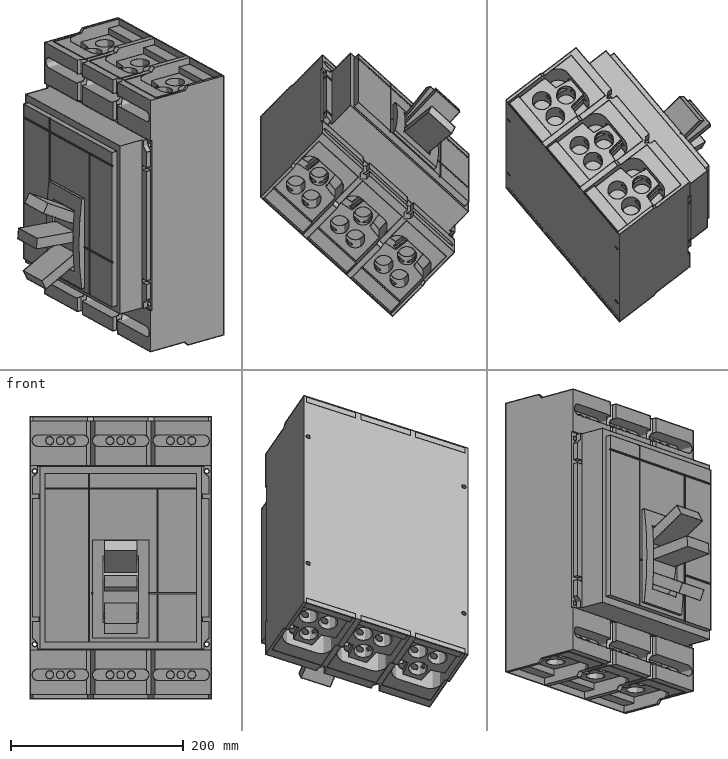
import cadquery as cq
import math


BASE_WIDTH = 210.0
BASE_HEIGHT = 326.5
TOTAL_DEPTH = 205.0
BASE_DEPTH = 104.5
FRONT_STEP = 5.0
STEP_START_DEPTH = 51.0
STEP_END_DEPTH = 55.2
POLE_PITCH = 70.0
BAND_HALF_HEIGHT = 106.8
BAND_DEPTH = 102.2

GROOVE_WIDTH = 9.8
GROOVE_APEX_DEPTH = 93.7
GROOVE_SHOULDER_DEPTH = 99.3

CHAMBER_WIDTH = 63.0
BACK_LIP = 1.0
LEDGE_DEPTH = 16.3
LEDGE_DROP = 8.2
FLOOR_DROP = 15.7
CHAMBER_FRONT_DEPTH = 77.7
CHAMBER_CORNER_RADIUS = 14.7
INSET_FRONT_DEPTH = 94.5
INSET = 0.5
WIRE_BORE_DIAMETER = 22.0
WIRE_BORE_LENGTH = 32.7
WIRE_SPACING = 12.5
REAR_WIRE_DEPTH = 35.3
FRONT_WIRE_DEPTH = 61.5
WELL_BACK_DEPTH = 55.2
WELL_SHOULDER_DEPTH = 57.8
WELL_SHOULDER_X = 14.5
WELL_FRONT_X = 11.8

SLOT_LENGTH = 65.3
SLOT_HEIGHT = 13.0
SLOT_CUT = 19.5
SLOT_Z = 135.5
SCREW_DIAMETER = 9.0
SCREW_OVERRUN = 16.3

COVER_WIDTH = 187.5
COVER_HEIGHT = 211.5
COVER_DEPTH = 139.8
PANEL_WIDTH = 175.7
PANEL_HEIGHT = 194.7
PANEL_DEPTH = 147.0
SEAM = 1.3
SEAM_TOP_Z = 80.5
SEAM_LOW_Z = -41.0
SEAM_LEFT_X = -36.5
SEAM_RIGHT_X = 42.5
SEAM_LOW_START_X = -34.0

FLANGE_HALF_WIDTH = 102.2
FLANGE_DEPTH = 108.5
FLANGE_RELIEF_RADIUS = 3.3
FLANGE_GAP_HEIGHT = 5.0
FLANGE_GAP_Z = 71.2
FLANGE_GAP_X = 94.7
MOUNT_HOLE_DIAMETER = 5.2
MOUNT_HOLE_X = 99.5
MOUNT_HOLE_Z = 100.3

PIVOT_DEPTH = 101.0
PIVOT_Z = -36.3
DRUM_RADIUS = 51.3
PLATE_WIDTH = 65.3
PLATE_HEIGHT = 113.5
PLATE_EDGE_DEPTH = 150.5
PLATE_CROWN_DEPTH = 154.5
WINDOW_WIDTH = 41.0
WINDOW_HEIGHT = 77.0
HANDLE_WIDTH = 37.2
HANDLE_THICKNESS = 13.0
UPPER_ANGLE, MIDDLE_ANGLE, LOWER_ANGLE = 29, 5, -26

HANDLE_ANGLES = (UPPER_ANGLE, MIDDLE_ANGLE, LOWER_ANGLE)
WIRES = [(-WIRE_SPACING, REAR_WIRE_DEPTH), (0, FRONT_WIRE_DEPTH), (WIRE_SPACING, REAR_WIRE_DEPTH)]
POLE_CENTRES = [i * POLE_PITCH for i in (-1, 0, 1)]
POLE_BORDERS = [-POLE_PITCH / 2, POLE_PITCH / 2]
middle_tilt = math.radians(MIDDLE_ANGLE)
corner_lead = HANDLE_THICKNESS / 2 * math.sin(middle_tilt)
HANDLE_REACH = (TOTAL_DEPTH - PIVOT_DEPTH - corner_lead) / math.cos(middle_tilt)
END_Z = BASE_HEIGHT / 2
FLOOR_Z = END_Z - FLOOR_DROP


def block(x_range, depth_range, z_range):
    """Box spanning the given ranges, with depth running toward -Y."""
    (x0, x1), (d0, d1), (z0, z1) = x_range, depth_range, z_range
    return cq.Workplane("XY").box(x1 - x0, d1 - d0, z1 - z0, centered=False).translate((x0, -d1, z0))


def centred(size, middle=0):
    return (middle - size / 2, middle + size / 2)


def front_plane(depth):
    """Plane at a depth, with local x = X, local y = Z and its normal toward the front."""
    return cq.Workplane("XZ", origin=(0, -depth, 0))


def side_profile(width):
    """YZ plane at the left side of a part of this width centred on X = 0, with its normal toward +X."""
    return cq.Workplane("YZ", origin=(-width / 2, 0, 0))


def both_ends(shape):
    return shape.union(shape.mirror("XY"))


def make_base():
    low_z = END_Z - FRONT_STEP
    upper_edge = [(0, END_Z), (-STEP_START_DEPTH, END_Z), (-STEP_END_DEPTH, low_z), (-BASE_DEPTH, low_z)]
    lower_edge = [(y, -z) for y, z in reversed(upper_edge)]
    base = side_profile(BASE_WIDTH).polyline(upper_edge + lower_edge).close().extrude(BASE_WIDTH)
    band = block(centred(BASE_WIDTH), (BAND_DEPTH, BASE_DEPTH), centred(2 * BAND_HALF_HEIGHT))
    return base.cut(band)


def pole_groove(x):
    """Pointed groove between two poles, from the band to the upper end."""
    half = GROOVE_WIDTH / 2
    return (
        cq.Workplane("XY", origin=(x, 0, BAND_HALF_HEIGHT))
        .polyline([(-half, -BASE_DEPTH), (-half, -GROOVE_SHOULDER_DEPTH), (0, -GROOVE_APEX_DEPTH),
                   (half, -GROOVE_SHOULDER_DEPTH), (half, -BASE_DEPTH)])
        .close()
        .extrude(END_Z - BAND_HALF_HEIGHT)
    )


def chamber_space(depth_range, z_range):
    """Chamber-wide space with rounded front corners."""
    space = block(centred(CHAMBER_WIDTH), depth_range, z_range)
    return space.edges("|Z and <Y").fillet(CHAMBER_CORNER_RADIUS)


def terminal_chamber(x):
    """Open chamber of one pole at the upper end, with its wire bores and corner wells."""
    ledge_cut = block(centred(CHAMBER_WIDTH), (BACK_LIP, LEDGE_DEPTH), (END_Z - LEDGE_DROP, END_Z))
    floor_cut = chamber_space((LEDGE_DEPTH, CHAMBER_FRONT_DEPTH), (FLOOR_Z, END_Z))
    front_z = END_Z - FRONT_STEP
    inset = block(centred(CHAMBER_WIDTH), (STEP_END_DEPTH, INSET_FRONT_DEPTH), (front_z - INSET, END_Z))
    cavity = ledge_cut.union(floor_cut).union(inset)

    well_z = FLOOR_Z - WIRE_BORE_LENGTH
    wells = chamber_space((LEDGE_DEPTH, CHAMBER_FRONT_DEPTH), (well_z, FLOOR_Z))
    right_edge = [(CHAMBER_WIDTH / 2, -WELL_BACK_DEPTH), (WELL_SHOULDER_X, -WELL_SHOULDER_DEPTH),
                  (WELL_FRONT_X, -CHAMBER_FRONT_DEPTH)]
    left_edge = [(-px, py) for px, py in reversed(right_edge)]
    back_corners = [(-CHAMBER_WIDTH / 2, -LEDGE_DEPTH), (CHAMBER_WIDTH / 2, -LEDGE_DEPTH)]
    terminal_block = (
        cq.Workplane("XY", origin=(0, 0, well_z))
        .polyline(right_edge + left_edge + back_corners)
        .close()
        .extrude(WIRE_BORE_LENGTH)
    )
    bores = (
        cq.Workplane("XY", origin=(0, 0, well_z))
        .pushPoints([(offset, -depth) for offset, depth in WIRES])
        .circle(WIRE_BORE_DIAMETER / 2)
        .extrude(WIRE_BORE_LENGTH)
    )
    return cavity.union(wells.cut(terminal_block)).union(bores).translate((x, 0, 0))


def screw_slot(x):
    """Rounded slot on the front with three screw holes that cross the wire bores."""
    floor_depth = BASE_DEPTH - SLOT_CUT
    slot = front_plane(floor_depth).center(x, SLOT_Z).slot2D(SLOT_LENGTH, SLOT_HEIGHT).extrude(SLOT_CUT)
    for offset, wire_depth in WIRES:
        end_depth = wire_depth - SCREW_OVERRUN
        hole = front_plane(end_depth).center(x + offset, SLOT_Z).circle(SCREW_DIAMETER / 2)
        slot = slot.union(hole.extrude(floor_depth - end_depth))
    return slot


def make_cover():
    """Cover with the raised panel on its front."""
    cover = block(centred(COVER_WIDTH), (BAND_DEPTH, COVER_DEPTH), centred(COVER_HEIGHT))
    panel = block(centred(PANEL_WIDTH), (COVER_DEPTH, PANEL_DEPTH), centred(PANEL_HEIGHT))
    return cover.union(panel)


def panel_seams():
    cut = (PANEL_DEPTH - SEAM, PANEL_DEPTH)
    full_width = centred(PANEL_WIDTH)
    right_edge, top_edge = PANEL_WIDTH / 2, PANEL_HEIGHT / 2
    top = block(full_width, cut, centred(SEAM, SEAM_TOP_Z))
    low = block((SEAM_LOW_START_X, right_edge), cut, centred(SEAM, SEAM_LOW_Z))
    left = block(centred(SEAM, SEAM_LEFT_X), cut, centred(PANEL_HEIGHT))
    right = block(centred(SEAM, SEAM_RIGHT_X), cut, (-top_edge, SEAM_TOP_Z))
    return top.union(low).union(left).union(right)


def flange_corner():
    """Upper right part of the flanges, cleared around the mounting hole and tapered outward at 45 degrees."""
    neck_x = MOUNT_HOLE_X - FLANGE_RELIEF_RADIUS

    def relief_point(degrees):
        angle = math.radians(degrees)
        return (MOUNT_HOLE_X + FLANGE_RELIEF_RADIUS * math.cos(angle),
                MOUNT_HOLE_Z + FLANGE_RELIEF_RADIUS * math.sin(angle))

    side_angle, taper_angle = 180, 225
    taper_x, taper_z = relief_point(taper_angle)
    return (
        front_plane(BAND_DEPTH)
        .lineTo(0, COVER_HEIGHT / 2)
        .lineTo(neck_x, COVER_HEIGHT / 2)
        .lineTo(neck_x, MOUNT_HOLE_Z)
        .threePointArc(relief_point((side_angle + taper_angle) / 2), (taper_x, taper_z))
        .lineTo(FLANGE_HALF_WIDTH, taper_z - (FLANGE_HALF_WIDTH - taper_x))
        .lineTo(FLANGE_HALF_WIDTH, 0)
        .close()
        .extrude(FLANGE_DEPTH - BAND_DEPTH)
    )


def make_flanges():
    """Thin flanges on both sides of the cover, each notched twice."""
    right_half = both_ends(flange_corner())
    flanges = right_half.union(right_half.mirror("YZ"))
    for side in (-1, 1):
        x_range = sorted((side * FLANGE_GAP_X, side * FLANGE_HALF_WIDTH))
        for z in (-FLANGE_GAP_Z, FLANGE_GAP_Z):
            flanges = flanges.cut(block(x_range, (BAND_DEPTH, FLANGE_DEPTH), centred(FLANGE_GAP_HEIGHT, z)))
    return flanges


def mounting_holes():
    return (
        front_plane(0)
        .rect(2 * MOUNT_HOLE_X, 2 * MOUNT_HOLE_Z, forConstruction=True)
        .vertices()
        .circle(MOUNT_HOLE_DIAMETER / 2)
        .extrude(FLANGE_DEPTH)
    )


def handle_plate():
    """Plate around the handle, crowned about the pivot height."""
    upper_z, lower_z = PIVOT_Z + PLATE_HEIGHT / 2, PIVOT_Z - PLATE_HEIGHT / 2
    return (
        side_profile(PLATE_WIDTH)
        .moveTo(-PANEL_DEPTH, upper_z)
        .lineTo(-PLATE_EDGE_DEPTH, upper_z)
        .threePointArc((-PLATE_CROWN_DEPTH, PIVOT_Z), (-PLATE_EDGE_DEPTH, lower_z))
        .lineTo(-PANEL_DEPTH, lower_z)
        .close()
        .extrude(PLATE_WIDTH)
    )


def handle_window():
    """Opening through the plate and panel that shows the drum."""
    return block(centred(WINDOW_WIDTH), (COVER_DEPTH, PLATE_CROWN_DEPTH), centred(WINDOW_HEIGHT, PIVOT_Z))


def handle_drum():
    """Part of the drum that stands inside the window."""
    drum = side_profile(WINDOW_WIDTH).center(-PIVOT_DEPTH, PIVOT_Z).circle(DRUM_RADIUS).extrude(WINDOW_WIDTH)
    return drum.intersect(handle_window())


def handle_lever(angle):
    """One lever position, pointing from the pivot to the front and tilted up by the angle."""
    start = DRUM_RADIUS * math.cos(math.radians(UPPER_ANGLE))
    lever = block(centred(HANDLE_WIDTH), (start, HANDLE_REACH), centred(HANDLE_THICKNESS))
    return lever.rotate((0, 0, 0), (1, 0, 0), -angle).translate((0, -PIVOT_DEPTH, PIVOT_Z))


base = make_base()
for border in POLE_BORDERS:
    base = base.cut(both_ends(pole_groove(border)))
for centre in POLE_CENTRES:
    base = base.cut(both_ends(terminal_chamber(centre)))
    base = base.cut(both_ends(screw_slot(centre)))

cover = make_cover().cut(panel_seams()).union(make_flanges())
body = base.union(cover).cut(mounting_holes())

result = body.union(handle_plate()).cut(handle_window()).union(handle_drum())
for lever_angle in HANDLE_ANGLES:
    result = result.union(handle_lever(lever_angle))